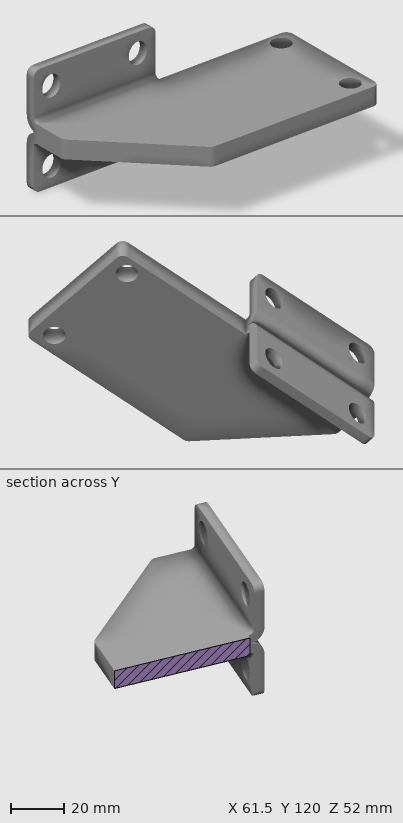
import cadquery as cq

length = 120.0
width = 61.5
height = 52.0
sheet = 4.2
outer_bend = 6.0
inner_bend = outer_bend - sheet
corner_radius = 3.0

plate_left = 6.5
bevel = 40.0
plate_hole_diameter = 8.5
plate_hole_spacing = 41.2
plate_hole_right_inset = 7.5
plate_hole_end_inset = 8.0

flange_length = 58.5
flange_hole_width = 8.6
flange_hole_height = 9.8
flange_hole_spacing_y = 41.5
flange_hole_spacing_z = 34.0


def make_plate():
    """Double-thickness plate with one beveled corner and rounded corners."""
    plate = (
        cq.Workplane("XY")
        .workplane(offset=-sheet)
        .moveTo(plate_left, 0)
        .lineTo(width - bevel, 0)
        .lineTo(width, bevel)
        .lineTo(width, length)
        .lineTo(plate_left, length)
        .close()
        .extrude(2 * sheet)
    )
    rounded = plate.edges("|Z").edges(">Y or >X").fillet(corner_radius)
    near_corner = cq.selectors.NearestToPointSelector((width - bevel, 0, 0))
    return rounded.edges("|Z").edges(near_corner).fillet(corner_radius)


def make_upper_bend():
    """Upper flange leg and its bend, ending where the plate starts."""
    top = height / 2
    leg = (
        cq.Workplane("XZ")
        .moveTo(0, top)
        .lineTo(0, outer_bend)
        .radiusArc((outer_bend, 0), -outer_bend)
        .lineTo(plate_left, 0)
        .lineTo(plate_left, sheet)
        .lineTo(outer_bend, sheet)
        .radiusArc((sheet, outer_bend), inner_bend)
        .lineTo(sheet, top)
        .close()
        .extrude(-flange_length)
    )
    return leg.faces(">Z").edges("|X").fillet(corner_radius)


def cut_plate_holes(body):
    right_x = width - plate_hole_right_inset
    hole_y = length - plate_hole_end_inset
    holes = (
        cq.Workplane("XY")
        .workplane(offset=-sheet)
        .pushPoints([(right_x - plate_hole_spacing, hole_y), (right_x, hole_y)])
        .circle(plate_hole_diameter / 2)
        .extrude(2 * sheet)
    )
    return body.cut(holes)


def cut_flange_holes(body):
    """Four slightly tall elliptical holes, centered on the flange."""
    holes = (
        cq.Workplane("YZ")
        .center(flange_length / 2, 0)
        .rarray(flange_hole_spacing_y, flange_hole_spacing_z, 2, 2)
        .ellipse(flange_hole_width / 2, flange_hole_height / 2)
        .extrude(sheet)
    )
    return body.cut(holes)


upper_bend = make_upper_bend()
lower_bend = upper_bend.mirror("XY")
body = make_plate().union(upper_bend).union(lower_bend)
result = cut_flange_holes(cut_plate_holes(body))